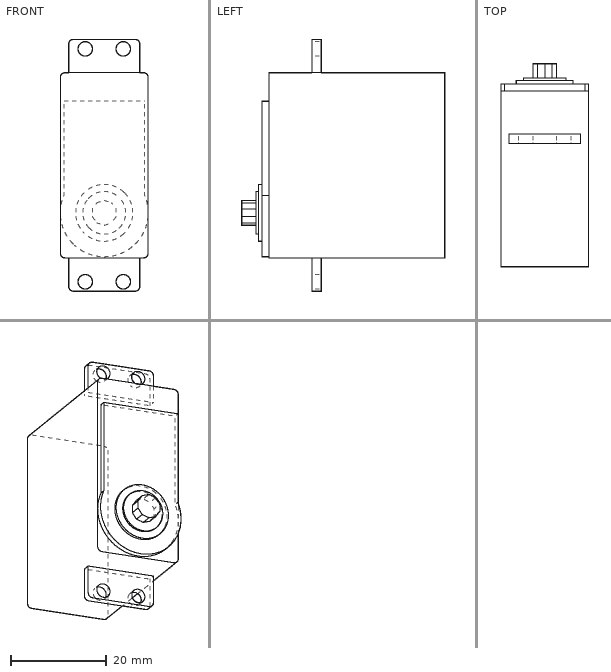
import cadquery as cq
import math

case_width = 18.5
case_depth = 37.0
case_height = 39.0
case_corner_radius = 1.0

plate_width = 15.0
plate_height = 53.0
plate_thickness = 2.0
plate_setback = 9.0
plate_corner_radius = 1.0
hole_diameter = 3.0
hole_spacing_x = 8.0
hole_spacing_z = 49.0

shaft_axis_z = -10.0
cover_thickness = 1.5
cover_lobe_radius = case_width / 2
cover_block_width = 17.0
cover_top_z = 13.5

lower_collar_radius = 6.0
lower_collar_length = 0.75
upper_collar_radius = 4.5
upper_collar_length = 0.5
shaft_sides = 10
shaft_corner_radius = 2.625
shaft_length = 3.0


def facing_shaft(y):
    """Workplane at depth y that extrudes along +Y; its local axes are -X and +Z."""
    return cq.Workplane("XZ", origin=(0, y, 0)).transformed(rotate=(0, 180, 0))


def rounded_slab(width, height, y_start, thickness, corner_radius):
    slab = facing_shaft(y_start).rect(width, height).extrude(thickness)
    return slab.edges("|Y").fillet(corner_radius)


def make_mounting_plate():
    y_start = case_depth - plate_setback - plate_thickness
    plate = rounded_slab(plate_width, plate_height, y_start, plate_thickness, plate_corner_radius)
    holes = (
        facing_shaft(y_start)
        .rect(hole_spacing_x, hole_spacing_z, forConstruction=True)
        .vertices()
        .circle(hole_diameter / 2)
        .extrude(plate_thickness)
    )
    return plate.cut(holes)


def make_cover():
    half_width = cover_block_width / 2
    side_end_z = shaft_axis_z + math.sqrt(cover_lobe_radius**2 - half_width**2)
    return (
        facing_shaft(case_depth)
        .moveTo(-half_width, cover_top_z)
        .lineTo(half_width, cover_top_z)
        .lineTo(half_width, side_end_z)
        .threePointArc((0, shaft_axis_z - cover_lobe_radius), (-half_width, side_end_z))
        .close()
        .extrude(cover_thickness)
    )


def make_collar(y_start, radius, length):
    return facing_shaft(y_start).center(0, shaft_axis_z).circle(radius).extrude(length)


def make_shaft(y_start):
    corner_angles = [2 * math.pi * i / shaft_sides for i in range(shaft_sides)]
    corners = [(shaft_corner_radius * math.sin(a), shaft_corner_radius * math.cos(a)) for a in corner_angles]
    return facing_shaft(y_start).center(0, shaft_axis_z).polyline(corners).close().extrude(shaft_length)


cover_face_y = case_depth + cover_thickness
lower_collar_face_y = cover_face_y + lower_collar_length
upper_collar_face_y = lower_collar_face_y + upper_collar_length

case = rounded_slab(case_width, case_height, 0, case_depth, case_corner_radius)
result = (
    case.union(make_mounting_plate())
    .union(make_cover())
    .union(make_collar(cover_face_y, lower_collar_radius, lower_collar_length))
    .union(make_collar(lower_collar_face_y, upper_collar_radius, upper_collar_length))
    .union(make_shaft(upper_collar_face_y))
)